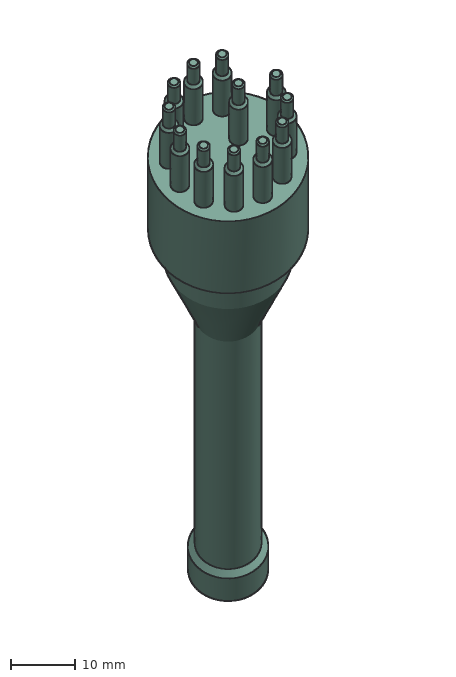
import cadquery as cq
import math

total_height = 123.0

cable_diameter = 10.5
collar_diameter = 12.5
collar_height = 7.0

neck_diameter = 20.0
taper_bottom = 66.9
taper_top = 82.0
body_bottom = 89.5

body_diameter = 25.0
body_top = 108.5

pin_diameter = 3.0
tip_diameter = 2.0
shoulder_height = 10.0
tip_chamfer = 0.31
pin_count = 12
pin_circle_radius = 9.2
key_pin_radius = 3.9


def turned(profile):
    """Revolve a closed (radius, height) profile around the Z axis."""
    return cq.Workplane("XZ").polyline(profile).close().revolve(360, (0, 0, 0), (0, 1, 0))


def revolved_housing():
    """Cable, collar, taper, neck and body as one turned profile."""
    cable_radius = cable_diameter / 2
    collar_radius = collar_diameter / 2
    neck_radius = neck_diameter / 2
    body_radius = body_diameter / 2
    collar_shoulder = collar_radius - cable_radius
    profile = [
        (0, 0),
        (collar_radius, 0),
        (collar_radius, collar_height - collar_shoulder),
        (cable_radius, collar_height),
        (cable_radius, taper_bottom),
        (neck_radius, taper_top),
        (neck_radius, body_bottom),
        (body_radius, body_bottom),
        (body_radius, body_top),
        (0, body_top),
    ]
    return turned(profile)


def stepped_pin(x, y):
    """One turned pin: a thick base, a conical shoulder and a thinner tip with a chamfered end."""
    base_radius = pin_diameter / 2
    tip_radius = tip_diameter / 2
    shoulder_rise = base_radius - tip_radius
    pin_height = total_height - body_top
    profile = [
        (0, 0),
        (base_radius, 0),
        (base_radius, shoulder_height - shoulder_rise),
        (tip_radius, shoulder_height),
        (tip_radius, pin_height - tip_chamfer),
        (tip_radius - tip_chamfer, pin_height),
        (0, pin_height),
    ]
    return turned(profile).translate((x, y, body_top))


result = revolved_housing()
for index in range(pin_count):
    angle = math.radians(90 - index * 360 / pin_count)
    radius = key_pin_radius if index == 0 else pin_circle_radius
    result = result.union(stepped_pin(radius * math.cos(angle), radius * math.sin(angle)))